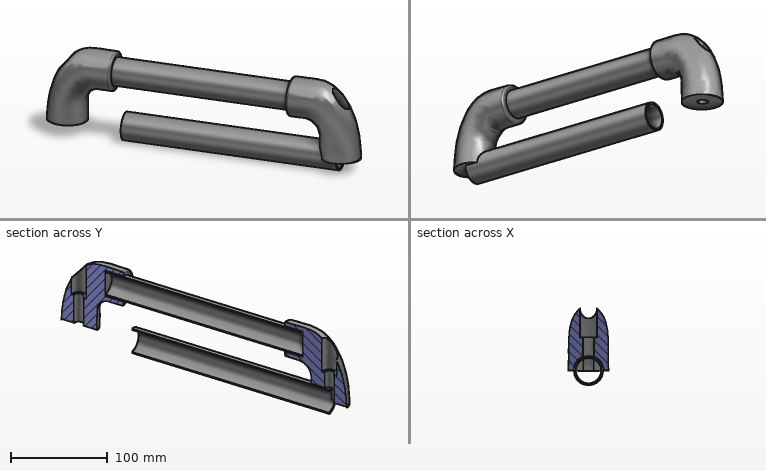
import cadquery as cq
import math


handle_length = 342.0
elbow_height = 80.7
arm_diameter = 42.0
foot_length = 43.0
elbow_reach = 74.5
collar_fillet = 2.0

outer_curve_length = 48.0
inner_bend_radius = 14.7
foot_steps = 3
bend_steps = 8
arm_steps = 3

tube_diameter = 30.0
tube_bore = 26.0
tube_length = 236.0
socket_diameter = 30.5
loose_tube_end = 149.8

screw_hole_offset = 21.0
screw_hole_diameter = 11.0
screw_head_diameter = 17.0
screw_seat_height = 34.2

half_length = handle_length / 2
screw_hole_center = -half_length + screw_hole_offset
arm_axis_height = elbow_height - arm_diameter / 2
arm_underside = elbow_height - arm_diameter
outer_curve_center = -half_length + outer_curve_length
bend_center_x = -half_length + foot_length + inner_bend_radius
bend_center_z = arm_underside - inner_bend_radius
collar_face = -half_length + elbow_reach
arm_length = collar_face - bend_center_x
loose_tube_start = loose_tube_end - tube_length


def x_cylinder(start, length, diameter, height):
    """Solid cylinder along +X from x = start, with its axis at the given height."""
    plane = cq.Plane(origin=(start, 0, height), xDir=(0, 1, 0), normal=(1, 0, 0))
    return cq.Workplane(plane).circle(diameter / 2).extrude(length)


def distance_to_outer_curve(pivot_x, pivot_z, angle):
    """Distance from the pivot to the outside of the elbow, angle measured up from -X."""
    step_x = -math.cos(angle)
    step_z = math.sin(angle)
    if step_z > 0:
        to_top = (elbow_height - pivot_z) / step_z
        if pivot_x + to_top * step_x >= outer_curve_center:
            return to_top
    start_x = (pivot_x - outer_curve_center) / outer_curve_length
    start_z = pivot_z / elbow_height
    ray_x = step_x / outer_curve_length
    ray_z = step_z / elbow_height
    a = ray_x ** 2 + ray_z ** 2
    b = start_x * ray_x + start_z * ray_z
    c = start_x ** 2 + start_z ** 2 - 1
    return (-b + math.sqrt(b ** 2 - a * c)) / a


def elbow_section(pivot_x, pivot_z, angle):
    """Elliptical section, one inner bend radius away from the pivot and as wide in Y as the arm."""
    outward = cq.Vector(-math.cos(angle), 0, math.sin(angle))
    travel = cq.Vector(math.sin(angle), 0, math.cos(angle))
    outer = distance_to_outer_curve(pivot_x, pivot_z, angle)
    center = cq.Vector(pivot_x, 0, pivot_z) + outward * ((inner_bend_radius + outer) / 2)
    plane = cq.Plane(origin=center, xDir=-outward, normal=travel)
    across_radius = (outer - inner_bend_radius) / 2
    section = cq.Workplane(plane).ellipseArc(across_radius, arm_diameter / 2, 0, 360, startAtCurrent=False)
    return section.wire().val()


def elbow_body():
    """One smooth loft: up the straight foot, around the bend and along the straight arm."""
    quarter_turn = math.radians(90)
    sections = []
    for step in range(foot_steps):
        sections.append(elbow_section(bend_center_x, bend_center_z * step / foot_steps, 0))
    for step in range(bend_steps + 1):
        sections.append(elbow_section(bend_center_x, bend_center_z, quarter_turn * step / bend_steps))
    for step in range(1, arm_steps + 1):
        sections.append(elbow_section(bend_center_x + arm_length * step / arm_steps, bend_center_z, quarter_turn))
    body = cq.Workplane(cq.Solid.makeLoft(sections))
    return body.faces(">X").edges().fillet(collar_fillet)


def screw_hole():
    through = cq.Workplane("XY").center(screw_hole_center, 0).circle(screw_hole_diameter / 2).extrude(elbow_height)
    head = (
        cq.Workplane("XY", origin=(screw_hole_center, 0, screw_seat_height))
        .circle(screw_head_diameter / 2)
        .extrude(elbow_height - screw_seat_height)
    )
    return through.union(head)


def make_elbow():
    """Elbow at the -X end of the handle."""
    socket = x_cylinder(-tube_length / 2, tube_length / 2, socket_diameter, arm_axis_height)
    return elbow_body().cut(socket).cut(screw_hole())


def make_tube(start, height):
    outside = x_cylinder(start, tube_length, tube_diameter, height)
    return outside.cut(x_cylinder(start, tube_length, tube_bore, height))


elbows = []
for is_right in (False, True):
    elbow = make_elbow()
    if is_right:
        elbow = elbow.mirror("YZ")
        elbow = elbow.cut(x_cylinder(loose_tube_start, tube_length, tube_diameter, 0))
    elbows.append(elbow)

tubes = []
for start, height in ((-tube_length / 2, arm_axis_height), (loose_tube_start, 0)):
    tubes.append(make_tube(start, height))

result = cq.Compound.makeCompound([body.val() for body in elbows + tubes])